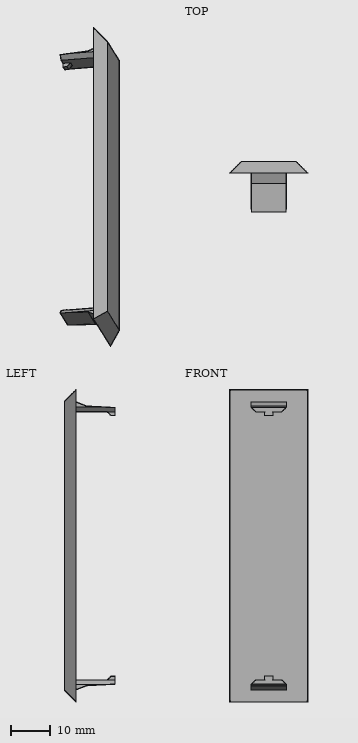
import cadquery as cq

plate_width = 20.0
plate_height = 80.0
plate_thickness = 3.0
plate_bevel = plate_thickness

tab_width = 9.0
tab_length = 10.0
inner_bevel = 1.2
tab_inner_z = plate_height / 2 - 5.7
root_thickness = 2.6
ramp_length = 2.6
ramp_end_thickness = 1.5
tip_thickness = 1.1

hook_width = 2.2
hook_height = 1.0
hook_flat = 1.0
hook_length = hook_flat + hook_height


def side_prism(points, width):
    """Extrude a (Y, Z) outline symmetrically along X."""
    return cq.Workplane("YZ").polyline(points).close().extrude(width / 2, both=True)


def make_plate():
    return (
        cq.Workplane("XZ")
        .rect(plate_width, plate_height)
        .workplane(offset=-plate_thickness)
        .rect(plate_width - 2 * plate_bevel, plate_height - 2 * plate_bevel)
        .loft(ruled=True)
    )


def make_upper_tab():
    blade = side_prism(
        [
            (0, tab_inner_z),
            (0, tab_inner_z + root_thickness),
            (-ramp_length, tab_inner_z + ramp_end_thickness),
            (-tab_length, tab_inner_z + tip_thickness),
            (-tab_length, tab_inner_z),
        ],
        tab_width,
    )
    bevelled_bar = (
        cq.Workplane("XY")
        .box(tab_width, tab_length, root_thickness, centered=(True, True, False))
        .translate((0, -tab_length / 2, tab_inner_z))
        .faces("<Z")
        .edges("|Y")
        .chamfer(inner_bevel)
    )
    blade = blade.intersect(bevelled_bar)
    hook = side_prism(
        [
            (-tab_length, tab_inner_z),
            (-tab_length, tab_inner_z - hook_height),
            (-tab_length + hook_flat, tab_inner_z - hook_height),
            (-tab_length + hook_length, tab_inner_z),
        ],
        hook_width,
    )
    return blade.union(hook)


upper_tab = make_upper_tab()
lower_tab = upper_tab.mirror("XY")
result = make_plate().union(upper_tab).union(lower_tab)